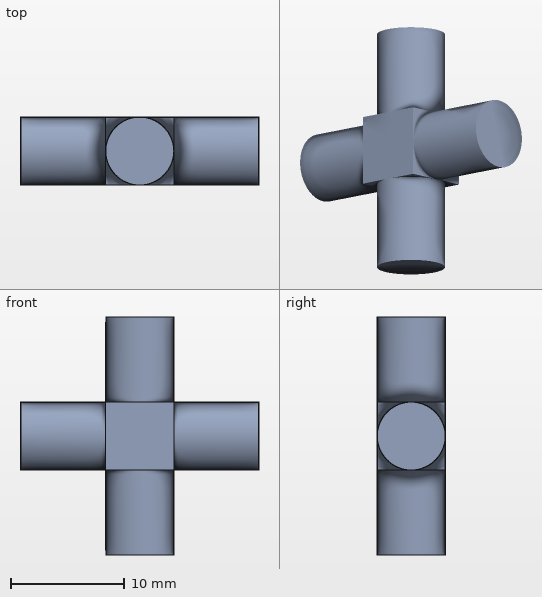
import cadquery as cq

span = 21.0
hub_side = 6.0

arm_radius = hub_side / 2
arm_length = (span - hub_side) / 2


def arm(hub_face):
    """Round arm standing on the given face of the hub, as wide as the face."""
    return hub.faces(hub_face).workplane().circle(arm_radius).extrude(arm_length, combine=False)


hub = cq.Workplane("XY").box(hub_side, hub_side, hub_side)

result = hub
for hub_face in ("<X", ">X", "<Z", ">Z"):
    result = result.union(arm(hub_face))